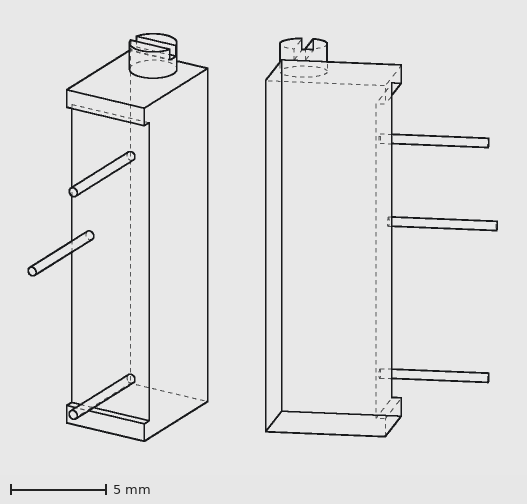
import cadquery as cq

housing_width = 4.8
housing_depth = 6.4
housing_height = 19.0
lip_height = 1.0
recess_depth = 0.5

screw_diameter = 2.5
screw_height = 1.5
screw_to_back = 1.6
slot_width = 0.6
slot_depth = 0.6

pin_diameter = 0.5
pin_root = 0.5
overall_depth = 11.7
pin_grid = 2.54
pin_span = 5 * pin_grid
lower_pin_gap = 3 * pin_grid

recess_height = housing_height - 2 * lip_height
screw_y = housing_depth - screw_to_back
pin_tip_y = housing_depth - overall_depth
pin_offset_x = pin_grid / 2
bottom_pin_z = (housing_height - pin_span) / 2
pin_places = [
    (pin_offset_x, bottom_pin_z),
    (-pin_offset_x, bottom_pin_z + lower_pin_gap),
    (pin_offset_x, bottom_pin_z + pin_span),
]


def make_housing():
    """Box with a full-width recess in its front face, leaving a lip at top and bottom."""
    block = cq.Workplane("XY").box(
        housing_width, housing_depth, housing_height, centered=(True, False, False)
    )
    recess = (
        cq.Workplane("XY")
        .box(housing_width, recess_depth, recess_height, centered=(True, False, False))
        .translate((0, 0, lip_height))
    )
    return block.cut(recess)


def make_screw():
    """Round screw head with a slot across its top."""
    head = cq.Workplane("XY").circle(screw_diameter / 2).extrude(screw_height)
    slot = (
        cq.Workplane("XY")
        .box(screw_diameter, slot_width, slot_depth, centered=(True, True, False))
        .translate((0, 0, screw_height - slot_depth))
    )
    return head.cut(slot).translate((0, screw_y, housing_height))


def make_pin(x, z):
    """Straight round pin from inside the housing to its tip."""
    length = recess_depth + pin_root - pin_tip_y
    return (
        cq.Workplane("XZ", origin=(x, recess_depth + pin_root, z))
        .circle(pin_diameter / 2)
        .extrude(length)
    )


result = make_housing().union(make_screw())
for pin_x, pin_z in pin_places:
    result = result.union(make_pin(pin_x, pin_z))